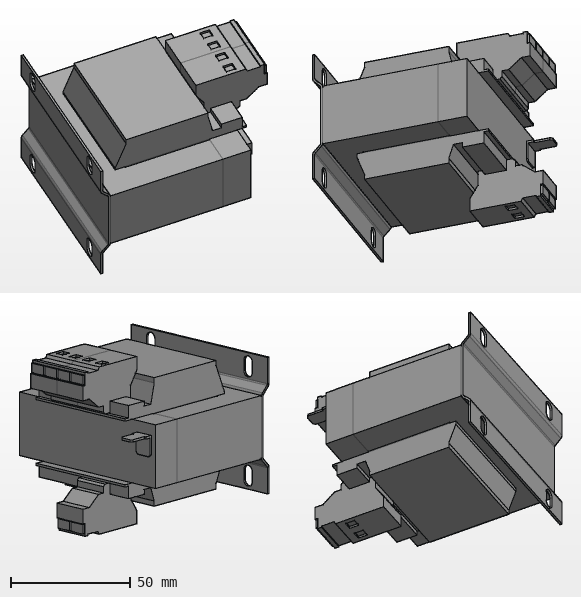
import cadquery as cq
import math


core_width = 78.0
core_length = core_width * 5 / 6
core_height = 27.6
core_top = core_height / 2
limb_width = core_width / 6
window_width = limb_width
window_length = core_width / 2
yoke_seam_y = limb_width + window_length

coil_clearance = 0.4
coil_width = 4 * limb_width - 2 * coil_clearance
coil_front_y = 13.5
coil_back_y = 51.5
coil_edge_land = 2.3
upper_coil_top = 29.2
upper_skirt_y = 8.4
upper_skirt_land = 0.9
lower_coil_top = 26.6
lower_skirt_y = 10.1
lower_skirt_land = 1.8
coil_foot_y = 53.6
platform_z = 18.1
rail_front_y = 57.6
rail_back_y = 67.3
rail_top = 20.2
lip_back_y = 69.3
lip_top = 14.8

block_width = 15.0
block_front_y = 50.8
block_back_y = 83.9
block_top = 36.3
block_neck_y = 54.6
block_nose_bottom = 30.4
block_neck_top = 24.6
block_hook_bottom = 15.2
block_hook_y = 71.3
block_hook_chamfer = 0.95
block_shelf_y = 74.3
block_shelf_z = 18.9
block_slope_y = 80.0
block_slope_z = 23.5
block_step_z = 29.9
block_face_y = 82.6
block_rim_front_y = 80.7
block_rim_z = 35.5
block_deck_z = 34.9
block_deck_front_y = 74.7
block_top_chamfer_y = 73.9

opening_pitch = block_width / 2 - 0.1
opening_width = 3.6
opening_length = 4.3
opening_y = 68.1
opening_depth = 1.0
entry_margin = 0.35
entry_gap = 0.7
entry_width = (block_width - 2 * entry_margin - entry_gap) / 2
entry_bottom = 30.3
entry_top = 34.4
entry_back_y = 83.6

tab_x = -32.5
tab_thickness = 1.0
tab_leg_thickness = 0.7
tab_width = 8.0
tab_top = 8.8
tab_bottom = -0.6
tab_leg_chamfer = 1.0
tab_shoulder_length = 3.3
blade_width = 6.4
blade_length = 11.3
blade_chamfer = 0.9

sheet = 1.0
bracket_offset = 3.6
bracket_half_height = 29.6
bend_inner_radius = 1.0
bend_outer_radius = bend_inner_radius + sheet
mounting_slot_pitch_x = 55.8
mounting_slot_z = 23.7
mounting_slot_width = 4.8
mounting_slot_height = 9.1


def extrude_along_x(points, x_start, width):
    """Extrude a closed (y, z) outline in +X from x_start."""
    return cq.Workplane("YZ").workplane(offset=x_start).polyline(points).close().extrude(width)


def make_core():
    """Core stack of two pieces meeting at the yoke seam, with two windows around the middle limb."""
    body = cq.Workplane("XY").box(core_width, yoke_seam_y, core_height, centered=(True, False, True))
    yoke = (
        cq.Workplane("XY")
        .box(core_width, core_length - yoke_seam_y, core_height, centered=(True, False, True))
        .translate((0, yoke_seam_y, 0))
    )
    window_x = limb_width + window_width / 2
    windows = (
        cq.Workplane("XY")
        .pushPoints([(-window_x, 0), (window_x, 0)])
        .box(window_width, window_length, core_height)
        .translate((0, limb_width + window_length / 2, 0))
    )
    return body.cut(windows).union(yoke, clean=False)


def make_winding():
    """Winding that fills the windows, leaving a narrow gap beside each outer limb."""
    return (
        cq.Workplane("XY")
        .box(coil_width, window_length, core_height, centered=(True, False, True))
        .translate((0, limb_width, 0))
    )


def make_coil_cover(top, skirt_y, skirt_land):
    """Cover above the core, with the terminal platform, rail and lip at its back."""
    outline = [
        (skirt_y, core_top),
        (skirt_y, core_top + skirt_land),
        (coil_front_y, top - coil_edge_land),
        (coil_front_y, top),
        (coil_back_y, top),
        (coil_back_y, top - coil_edge_land),
        (coil_foot_y, platform_z),
        (rail_front_y, platform_z),
        (rail_front_y, rail_top),
        (rail_back_y, rail_top),
        (rail_back_y, lip_top),
        (lip_back_y, lip_top),
        (lip_back_y, core_top),
    ]
    return extrude_along_x(outline, -coil_width / 2, coil_width)


def make_terminal_block(x_start):
    """Terminal block hooked over the rail, with clamp openings and wire-entry plates."""
    outline = [
        (block_front_y, block_top),
        (block_front_y, block_nose_bottom),
        (block_neck_y, block_neck_top),
        (block_neck_y, platform_z),
        (rail_front_y, platform_z),
        (rail_front_y, rail_top),
        (rail_back_y, rail_top),
        (rail_back_y, block_hook_bottom),
        (block_hook_y - block_hook_chamfer, block_hook_bottom),
        (block_hook_y, block_hook_bottom + block_hook_chamfer),
        (block_hook_y, block_shelf_z),
        (block_shelf_y, block_shelf_z),
        (block_slope_y, block_slope_z),
        (block_back_y, block_slope_z),
        (block_back_y, block_step_z),
        (block_face_y, block_step_z),
        (block_face_y, block_rim_z),
        (block_rim_front_y, block_rim_z),
        (block_rim_front_y, block_deck_z),
        (block_deck_front_y, block_deck_z),
        (block_top_chamfer_y, block_top),
    ]
    block = extrude_along_x(outline, x_start, block_width)
    x_middle = x_start + block_width / 2
    for side in (-1, 1):
        opening = (
            cq.Workplane("XY")
            .box(opening_width, opening_length, opening_depth, centered=(True, True, False))
            .translate((x_middle + side * opening_pitch / 2, opening_y, block_top - opening_depth))
        )
        entry_x = x_middle + side * (entry_gap + entry_width) / 2
        entry_depth = entry_back_y - block_face_y
        entry_height = entry_top - entry_bottom
        entry_plate = (
            cq.Workplane("XY")
            .box(entry_width, entry_depth, entry_height, centered=(True, False, False))
            .translate((entry_x, block_face_y, entry_bottom))
        )
        block = block.cut(opening).union(entry_plate)
    return block


def make_earth_tab():
    """Angled earth tab on the core back: a leg against the core and a blade pointing in +Y."""
    leg = (
        cq.Workplane("XY")
        .box(tab_width, tab_leg_thickness, tab_top - tab_bottom, centered=(True, False, False))
        .translate((tab_x, core_length, tab_bottom))
        .edges("|Y and <Z")
        .chamfer(tab_leg_chamfer)
    )
    shoulder = (
        cq.Workplane("XY")
        .box(tab_width, tab_shoulder_length, tab_thickness, centered=(True, False, False))
        .translate((tab_x, core_length, tab_top - tab_thickness))
    )
    blade = (
        cq.Workplane("XY")
        .box(blade_width, blade_length, tab_thickness, centered=(True, False, False))
        .translate((tab_x, core_length, tab_top - tab_thickness))
        .edges("|Z and >Y")
        .chamfer(blade_chamfer)
    )
    return leg.union(shoulder).union(blade)


def make_bracket():
    """Bent sheet on the core front, stepping out at 45 degrees to two slotted flanges."""
    bend_shift = sheet * math.tan(math.radians(22.5))
    flange_front_y = -sheet - bracket_offset
    flange_back_y = -bracket_offset
    front_inner_z = core_top
    front_outer_z = front_inner_z + bracket_offset
    back_inner_z = front_inner_z + bend_shift
    back_outer_z = front_outer_z + bend_shift
    upper_half = [
        (0, back_inner_z),
        (flange_back_y, back_outer_z),
        (flange_back_y, bracket_half_height),
        (flange_front_y, bracket_half_height),
        (flange_front_y, front_outer_z),
        (-sheet, front_inner_z),
    ]
    lower_half = [(y, -z) for y, z in reversed(upper_half)]
    bracket = extrude_along_x(upper_half + lower_half, -core_width / 2, core_width)

    bends = [
        (-sheet, front_inner_z, bend_inner_radius),
        (0, back_inner_z, bend_outer_radius),
        (flange_back_y, back_outer_z, bend_inner_radius),
        (flange_front_y, front_outer_z, bend_outer_radius),
    ]
    for y, z, radius in bends:
        for side in (-1, 1):
            bend_edge = cq.selectors.NearestToPointSelector((0, y, side * z))
            bracket = bracket.edges("|X").edges(bend_edge).fillet(radius)

    slots = (
        cq.Workplane("XZ")
        .rarray(mounting_slot_pitch_x, 2 * mounting_slot_z, 2, 2)
        .slot2D(mounting_slot_height, mounting_slot_width, 90)
        .extrude(sheet + bracket_offset)
    )
    return bracket.cut(slots)


def mirror_below(part):
    """Mirror a part to the underside of the core."""
    return part.mirror("XY")


parts = [
    make_winding(),
    make_coil_cover(upper_coil_top, upper_skirt_y, upper_skirt_land),
    mirror_below(make_coil_cover(lower_coil_top, lower_skirt_y, lower_skirt_land)),
    make_terminal_block(-block_width),
    make_terminal_block(0),
    mirror_below(make_terminal_block(-block_width)),
    make_earth_tab(),
    make_bracket(),
]

result = make_core()
for part in parts:
    result = result.union(part, clean=False)